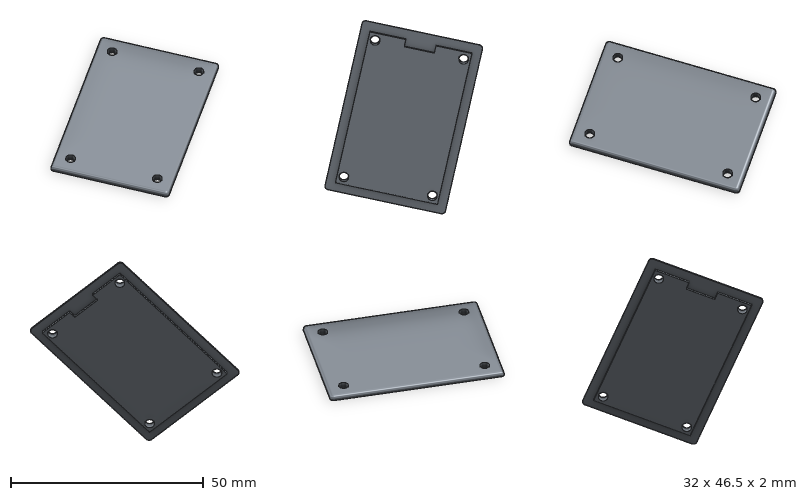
import cadquery as cq

PLATE_X = 32.01
PLATE_Y = 46.45
TOTAL_HEIGHT = 2.0
PLATE_THICKNESS = 1.2
EDGE_RADIUS = 1.0

STEP_INSET = 2.45
STEP_X = PLATE_X - 2 * STEP_INSET
STEP_Y = PLATE_Y - 2 * STEP_INSET
STEP_HEIGHT = TOTAL_HEIGHT - PLATE_THICKNESS

NOTCH_WIDTH = 8.0
NOTCH_DEPTH = 2.0

HOLE_DIAMETER = 2.5
HOLE_SPACING_X = 23.5
HOLE_SPACING_Y = 37.6


def make_plate():
    """Plate with rounded corners and a rounded top rim."""
    plate = cq.Workplane("XY", origin=(0, 0, STEP_HEIGHT)).rect(PLATE_X, PLATE_Y).extrude(PLATE_THICKNESS)
    return plate.edges("|Z or >Z").fillet(EDGE_RADIUS)


def make_step():
    """Rectangular step with a notch open to -Y and to the bottom."""
    step = cq.Workplane("XY").rect(STEP_X, STEP_Y).extrude(STEP_HEIGHT)
    notch_center_y = (NOTCH_DEPTH - STEP_Y) / 2
    notch = cq.Workplane("XY").center(0, notch_center_y).rect(NOTCH_WIDTH, NOTCH_DEPTH).extrude(STEP_HEIGHT)
    return step.cut(notch)


def make_holes():
    """Four cylinders through the whole height."""
    return (
        cq.Workplane("XY")
        .rect(HOLE_SPACING_X, HOLE_SPACING_Y, forConstruction=True)
        .vertices()
        .circle(HOLE_DIAMETER / 2)
        .extrude(TOTAL_HEIGHT)
    )


result = make_plate().union(make_step()).cut(make_holes())